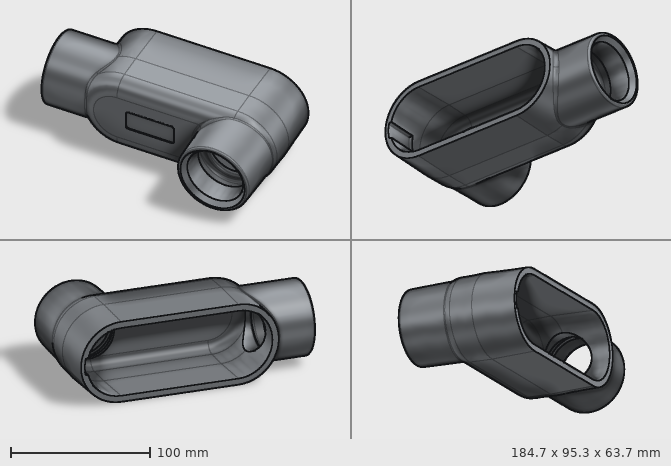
import cadquery as cq


LENGTH = 184.7
HEIGHT = 63.7
DEPTH = 95.3

BODY_RADIUS = HEIGHT / 2
RIGHT_CENTER_X = LENGTH - BODY_RADIUS
LEFT_CENTER_X = 62.0
BACK_Y = 34.4
FRONT_Y = -30.7
DRAFT = 1.5
FRONT_EDGE_RADIUS = 12.7

WALL = 4.8
CAVITY_RADIUS = BODY_RADIUS - WALL
CAVITY_FRONT_Y = FRONT_Y + WALL
CAVITY_EDGE_RADIUS = FRONT_EDGE_RADIUS - WALL

HUB_RADIUS = 56.7 / 2
HUB_RIM_RADIUS = 1.7
FRONT_HUB_X = 153.8
FRONT_HUB_END_Y = BACK_Y - DEPTH
HUB_BLEND_RADIUS = 3.0

MOUTH_RADIUS = 25.7
MOUTH_DEPTH = 4.2
THREAD_RADIUS = 22.3
THREAD_END_RADIUS = 21.8
THREAD_DEPTH = 20.7
GROOVE_RADIUS = 48.4 / 2
GROOVE_STRAIGHT_DEPTH = 27.7
GROOVE_CORNER_RADIUS = 2.8
THROAT_RADIUS = 19.5
LIP_RADIUS = GROOVE_RADIUS - GROOVE_CORNER_RADIUS - THROAT_RADIUS

POCKET_WIDTH = 13.1
POCKET_DEPTH = 1.8
POCKET_FRONT_Y = 8.9
POCKET_EDGE_RADIUS = 1.75

PANEL_X = 88.7
PANEL_LENGTH = 38.5
PANEL_HEIGHT = 15.7
PANEL_CORNER_RADIUS = 1.8
PANEL_DEPTH = 1.0


def drafted_half(radius, end_y):
    """Half of a long rounded block, narrowing from the plane Y = 0 to end_y."""
    span = RIGHT_CENTER_X - LEFT_CENTER_X
    middle_x = (RIGHT_CENTER_X + LEFT_CENTER_X) / 2
    return (
        cq.Workplane("XZ", origin=(middle_x, 0, 0))
        .slot2D(span + 2 * radius, 2 * radius)
        .extrude(-end_y, taper=DRAFT)
    )


def rounded_block(radius, front_y, edge_radius):
    """Both drafted halves, with a rounded edge around the front face."""
    front = drafted_half(radius, front_y).faces("<Y").edges().fillet(edge_radius)
    return drafted_half(radius, BACK_Y).union(front)


def left_hub():
    hub = cq.Workplane("YZ").circle(HUB_RADIUS).extrude(LEFT_CENTER_X)
    return hub.faces("<X").edges().fillet(HUB_RIM_RADIUS)


def front_hub():
    """Hub on the front face, widening with the draft towards the plane Y = 0."""
    hub = (
        cq.Workplane("XZ", origin=(FRONT_HUB_X, FRONT_HUB_END_Y, 0))
        .circle(HUB_RADIUS)
        .extrude(FRONT_HUB_END_Y, taper=-DRAFT)
    )
    return hub.faces("<Y").edges().fillet(HUB_RIM_RADIUS)


def outer_form():
    """Solid body and hubs, with blends where the hubs leave the body."""
    block = rounded_block(BODY_RADIUS, FRONT_Y, FRONT_EDGE_RADIUS)
    form = block.union(left_hub()).union(front_hub()).clean()
    curved_joints = form.edges("%BSPLINE")
    flat_joint = form.edges(cq.selectors.NearestToPointSelector((FRONT_HUB_X - HUB_RADIUS, FRONT_Y, 0)))
    return curved_joints.add(flat_joint).fillet(HUB_BLEND_RADIUS)


def hub_bore(end_depth):
    """Bore along +X from the open end: flared mouth, taper, groove, rounded lip and throat."""
    lip_start = GROOVE_STRAIGHT_DEPTH + GROOVE_CORNER_RADIUS
    lip_crest_radius = THROAT_RADIUS + LIP_RADIUS
    return (
        cq.Workplane("XY")
        .lineTo(0, MOUTH_RADIUS)
        .lineTo(MOUTH_DEPTH, THREAD_RADIUS)
        .lineTo(THREAD_DEPTH, THREAD_END_RADIUS)
        .lineTo(THREAD_DEPTH, GROOVE_RADIUS)
        .lineTo(GROOVE_STRAIGHT_DEPTH, GROOVE_RADIUS)
        .radiusArc((lip_start, lip_crest_radius), GROOVE_CORNER_RADIUS)
        .radiusArc((lip_start + LIP_RADIUS, THROAT_RADIUS), -LIP_RADIUS)
        .lineTo(end_depth, THROAT_RADIUS)
        .lineTo(end_depth, 0)
        .close()
        .revolve(360, (0, 0, 0), (1, 0, 0))
    )


def wall_pocket():
    """Shallow pocket in the right end wall; its floor follows the wall and has rounded corners."""
    keep = cq.Workplane("XY").box(
        BODY_RADIUS, BACK_Y - POCKET_FRONT_Y, POCKET_WIDTH, centered=(False, False, True)
    )
    keep = keep.translate((RIGHT_CENTER_X, POCKET_FRONT_Y, 0))
    pocket = drafted_half(CAVITY_RADIUS + POCKET_DEPTH, BACK_Y).intersect(keep)
    floor_edges = pocket.faces("%CONE").edges("not >Y")
    return floor_edges.fillet(POCKET_EDGE_RADIUS)


def cavity():
    """Space inside the body, open at the back, with the wall pocket."""
    space = rounded_block(CAVITY_RADIUS, CAVITY_FRONT_Y, CAVITY_EDGE_RADIUS)
    return space.union(wall_pocket())


def name_panel():
    """Shallow rounded recess in the flat front face."""
    return (
        cq.Workplane("XZ", origin=(PANEL_X, FRONT_Y, 0))
        .rect(PANEL_LENGTH, PANEL_HEIGHT)
        .extrude(-PANEL_DEPTH)
        .edges("|Y")
        .fillet(PANEL_CORNER_RADIUS)
    )


left_bore = hub_bore(LEFT_CENTER_X)
front_bore = (
    hub_bore(-FRONT_HUB_END_Y)
    .rotate((0, 0, 0), (0, 0, 1), 90)
    .translate((FRONT_HUB_X, FRONT_HUB_END_Y, 0))
)

result = outer_form().cut(cavity()).cut(left_bore).cut(front_bore).cut(name_panel())